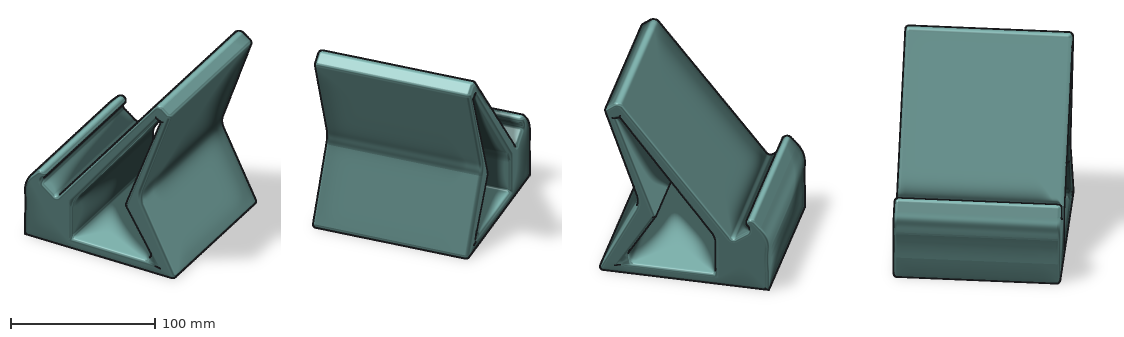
import cadquery as cq

WIDTH = 116.3
EDGE_RADIUS = 2.6

BASE_LENGTH = 121.8
HEEL_RADIUS = 2.6
FLOOR = 9.0

WALL = 38.0
SHOULDER_Z = 44.4
SHOULDER_RADIUS = 20.0
HOLLOW_LOW = 15.9
HOLLOW_HIGH = 34.9
HOLLOW_DEPTH = 0.48

OUTLINE = [
    (0, 0, 0),
    (0, SHOULDER_Z, SHOULDER_RADIUS),
    (12.3, 57.2, 3.5),
    (18.0, 53.0, 3.0),
    (12.4, 47.7, 3.0),
    (25.7, 37.8, 2.8),
    (106.6, 139.7, 4.5),
    (117.1, 131.6, 3.0),
    (92.1, 59.2, 13.4),
    (BASE_LENGTH, 0, HEEL_RADIUS),
]

WINDOW = [
    (WALL, FLOOR, 2.3),
    (104.4, FLOOR, 5.2),
    (80.3, 48.8, 0),
    (108.4, 125.0, 0),
    (105.9, 126.0, 0),
    (WALL, 37.8, 15.2),
]


def extrude_along_y(sketch):
    """Closed sketch on the XZ plane, extruded over the full width."""
    return sketch.close().extrude(WIDTH / 2, both=True)


def sharp_prism(corners):
    """Prism whose side profile joins the given corners with straight lines."""
    return extrude_along_y(cq.Workplane("XZ").polyline([(x, z) for x, z, _ in corners]))


def round_corners(solid, corners):
    """Round the edges along Y that lie nearest to the corners with a radius."""
    for x, z, radius in corners:
        if radius > 0:
            nearest = cq.selectors.NearestToPointSelector((x, 0, z))
            solid = solid.edges("|Y").edges(nearest).fillet(radius)
    return solid


def finger_hollow():
    """Shallow circular segment across the front wall."""
    middle = (HOLLOW_DEPTH, (HOLLOW_LOW + HOLLOW_HIGH) / 2)
    segment = cq.Workplane("XZ").moveTo(0, HOLLOW_LOW).threePointArc(middle, (0, HOLLOW_HIGH))
    return extrude_along_y(segment)


def window_rims(solid):
    """Edges of the window on both end faces."""
    faces = solid.faces("<Y or >Y").vals()
    return [edge for face in faces for wire in face.innerWires() for edge in wire.Edges()]


stand = round_corners(sharp_prism(OUTLINE), OUTLINE).cut(finger_hollow())
stand = stand.faces("<Y or >Y").edges().fillet(EDGE_RADIUS)

stand = stand.cut(sharp_prism(WINDOW))
stand = stand.newObject(window_rims(stand)).fillet(EDGE_RADIUS)
result = round_corners(stand, WINDOW)